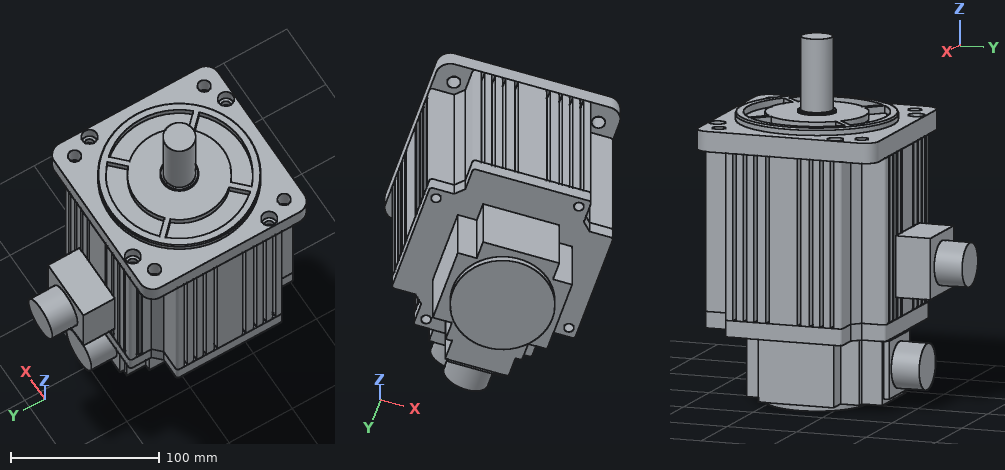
import cadquery as cq


total_height = 251.0
shaft_projection = 57.0
flange_thickness = 14.0
pilot_height = 5.0
seal_height = 1.5
housing_height = 115.0
rear_plate_thickness = 11.5
end_disc_height = 5.0

flange_top = total_height - shaft_projection
flange_bottom = flange_top - flange_thickness
pilot_top = flange_top + pilot_height
housing_bottom = flange_bottom - housing_height
rear_plate_bottom = housing_bottom - rear_plate_thickness
cover_bottom = end_disc_height

shaft_diameter = 22.0
seal_diameter = 26.0
seal_chamfer = 0.5

frame_size = 130.0
half_frame = frame_size / 2
flange_corner_radius = 10.0
mounting_spacing = 102.5
mounting_hole_diameter = 9.0
pilot_diameter = 110.0
pilot_chamfer_width = 0.6
pilot_chamfer_height = 1.5
recess_outer_diameter = 99.0
recess_inner_diameter = 70.0
recess_depth = 5.0
spoke_width = 4.0

tie_screw_x = -35.0
tie_screw_y = 58.5
tie_hole_diameter = 6.6
tie_counterbore_diameter = 11.0
tie_counterbore_depth = 9.0

corner_notch = 23.0
notch_chamfer = 6.0
notch_edge_radius = 2.0
groove_width = 2.4
groove_depth = 6.5
groove_offsets = (11.3, 20.0, 27.5, 35.0)

step_groove_start_y = 55.4
step_width = 2.2
step_depth = 1.0
step_count = 2

cover_width = 81.0
cover_notch = 13.5
cover_extension_width = 45.0
cover_extension_end = 55.4
end_disc_diameter = 70.6

power_box_width = 45.5
power_box_height = 42.4
power_box_end = 90.0
power_socket_diameter = 30.6
power_end = 110.0
power_axis_z = 101.5

encoder_flange_size = 40.0
encoder_flange_thickness = 4.0
encoder_socket_diameter = 32.0
encoder_socket_length = 20.0
encoder_axis_z = 29.2


def cylinder_up(diameter, bottom, top):
    return cq.Workplane("XY").workplane(offset=bottom).circle(diameter / 2).extrude(top - bottom)


def cylinder_out(diameter, start, end, axis_z):
    """Cylinder along +Y from start to end, centred on X = 0 at height axis_z."""
    plane = cq.Plane(origin=(0, start, axis_z), xDir=(1, 0, 0), normal=(0, 1, 0))
    return cq.Workplane(plane).circle(diameter / 2).extrude(end - start)


def block_out(width, height, start, end, centre_z):
    """Block along +Y from start to end, centred on X = 0 at height centre_z."""
    size_y = end - start
    return cq.Workplane("XY").box(width, size_y, height).translate((0, start + size_y / 2, centre_z))


def four_around(shape):
    """The shape and its three copies turned about the motor axis in quarter turns."""
    copies = [shape.rotate((0, 0, 0), (0, 0, 1), 90 * turn) for turn in range(4)]
    group = copies[0]
    for copy in copies[1:]:
        group = group.union(copy)
    return group


def tie_bore(diameter, bottom, top):
    return cylinder_up(diameter, bottom, top).translate((tie_screw_x, tie_screw_y, 0))


def notched_prism(bottom, top):
    """Square section whose corners are cut back by chamfered notches with rounded outer edges."""
    body = cq.Workplane("XY").workplane(offset=bottom).rect(frame_size, frame_size).extrude(top - bottom)
    inner = half_frame - corner_notch
    notch = (
        cq.Workplane("XY")
        .workplane(offset=bottom)
        .moveTo(frame_size, inner)
        .lineTo(inner + notch_chamfer, inner)
        .lineTo(inner, inner + notch_chamfer)
        .lineTo(inner, frame_size)
        .lineTo(frame_size, frame_size)
        .close()
        .extrude(top - bottom)
    )
    body = body.cut(four_around(notch))
    reach = half_frame - notch_edge_radius
    side_edges = cq.selectors.BoxSelector((-reach, -reach, bottom), (reach, reach, top))
    return body.edges("|Z").edges(cq.selectors.InverseSelector(side_edges)).fillet(notch_edge_radius)


def make_shaft():
    return cylinder_up(shaft_diameter, flange_bottom, total_height)


def make_seal_ring():
    ring = cylinder_up(seal_diameter, pilot_top, pilot_top + seal_height)
    ring = ring.faces(">Z").edges().chamfer(seal_chamfer)
    return ring.cut(cylinder_up(shaft_diameter, pilot_top, total_height))


def make_pilot_recess():
    """Ring-shaped recess in the pilot face, interrupted by four diagonal spokes."""
    floor = pilot_top - recess_depth
    ring = cylinder_up(recess_outer_diameter, floor, pilot_top)
    ring = ring.cut(cylinder_up(recess_inner_diameter, floor, pilot_top))
    for angle in (45, 135):
        spoke = (
            cq.Workplane("XY")
            .workplane(offset=floor)
            .transformed(rotate=(0, 0, angle))
            .rect(pilot_diameter, spoke_width)
            .extrude(recess_depth)
        )
        ring = ring.cut(spoke)
    return ring


def make_flange():
    plate = (
        cq.Workplane("XY")
        .workplane(offset=flange_bottom)
        .rect(frame_size, frame_size)
        .extrude(flange_thickness)
        .edges("|Z")
        .fillet(flange_corner_radius)
    )
    pilot = cylinder_up(pilot_diameter, flange_top, pilot_top)
    pilot = pilot.faces(">Z").edges().chamfer(pilot_chamfer_height, pilot_chamfer_width)
    plate = plate.union(pilot)
    plate = plate.cut(make_pilot_recess())
    plate = plate.cut(cylinder_up(shaft_diameter, flange_bottom, pilot_top))

    mounting_hole = cylinder_up(mounting_hole_diameter, flange_bottom, flange_top)
    mounting_hole = mounting_hole.translate((mounting_spacing / 2, mounting_spacing / 2, 0))
    plate = plate.cut(four_around(mounting_hole))

    tie_hole = tie_bore(tie_hole_diameter, flange_bottom, flange_top)
    counterbore = tie_bore(tie_counterbore_diameter, flange_top - tie_counterbore_depth, flange_top)
    return plate.cut(four_around(tie_hole.union(counterbore)))


def make_housing():
    body = notched_prism(housing_bottom, flange_bottom)
    offsets = [sign * offset for offset in groove_offsets for sign in (-1, 1)]
    grooves = (
        cq.Workplane("XY")
        .workplane(offset=housing_bottom)
        .pushPoints([(offset, half_frame - groove_depth / 2) for offset in offsets])
        .rect(groove_width, groove_depth)
        .extrude(housing_height)
    )
    return body.cut(four_around(grooves)).cut(make_step_groove())


def make_step_groove():
    """Two steps side by side, each one deeper than the one before it towards +Y."""
    wall_x = corner_notch - half_frame
    groove = cq.Workplane("XY")
    for step in range(step_count):
        depth = step_depth * (step + 1)
        step_y = step_groove_start_y + step_width * step
        block = cq.Workplane("XY").box(depth, step_width, housing_height, centered=False)
        groove = groove.add(block.translate((wall_x, step_y, housing_bottom)))
    return groove.combine()


def make_rear_plate():
    plate = notched_prism(rear_plate_bottom, housing_bottom)
    tie_hole = tie_bore(tie_hole_diameter, rear_plate_bottom, housing_bottom)
    return plate.cut(four_around(tie_hole))


def make_encoder_cover():
    height = rear_plate_bottom - cover_bottom
    centre_z = cover_bottom + height / 2
    long_side = cover_width
    short_side = cover_width - 2 * cover_notch
    cover = cq.Workplane("XY").box(long_side, short_side, height)
    cover = cover.union(cq.Workplane("XY").box(short_side, long_side, height))
    cover = cover.translate((0, 0, centre_z))
    extension = block_out(cover_extension_width, height, 0, cover_extension_end, centre_z)
    end_disc = cylinder_up(end_disc_diameter, 0, cover_bottom)
    return cover.union(extension).union(end_disc)


def make_power_connector():
    box = block_out(power_box_width, power_box_height, half_frame, power_box_end, power_axis_z)
    socket = cylinder_out(power_socket_diameter, power_box_end, power_end, power_axis_z)
    return box.union(socket)


def make_encoder_connector():
    flange_end = cover_extension_end + encoder_flange_thickness
    mounting_flange = block_out(
        encoder_flange_size, encoder_flange_size, cover_extension_end, flange_end, encoder_axis_z
    )
    socket_end = flange_end + encoder_socket_length
    socket = cylinder_out(encoder_socket_diameter, flange_end, socket_end, encoder_axis_z)
    return mounting_flange.union(socket)


shaft = make_shaft()
seal_ring = make_seal_ring()
flange = make_flange()
housing = make_housing()
rear_plate = make_rear_plate()
encoder_cover = make_encoder_cover()
power_connector = make_power_connector()
encoder_connector = make_encoder_connector()

result = cq.Compound.makeCompound(
    [
        shaft.val(),
        seal_ring.val(),
        flange.val(),
        housing.val(),
        rear_plate.val(),
        encoder_cover.val(),
        power_connector.val(),
        encoder_connector.val(),
    ]
)